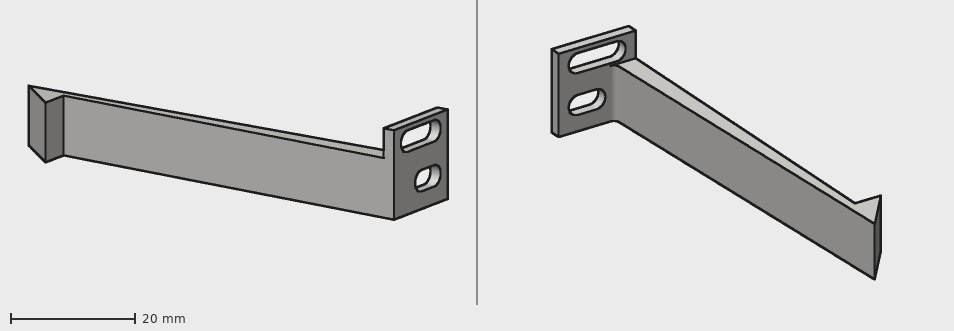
import cadquery as cq

total_length = 73.0
plate_size = 15.0
plate_thickness = 2.05
arm_height = 10.0

arm_root_width = 3.95
root_fillet = 1.0
hook_length = 7.95
hook_drop = 5.05
hook_tip_y = 1.5

slot_width = 3.6
slot_margin = 2.0
upper_slot_length = 11.0
upper_slot_z = 12.3
lower_slot_length = 7.1
lower_slot_z = 4.75

plate_face_x = total_length - plate_thickness


def make_plate():
    return cq.Workplane("XY").box(
        plate_thickness, plate_size, plate_size, centered=False
    ).translate((plate_face_x, 0, 0))


def make_hooked_arm():
    """Tapered arm ending in a triangular barb, extruded upwards."""
    outline = [
        (0, hook_tip_y),
        (hook_length, -hook_drop),
        (hook_length, 0),
        (plate_face_x, 0),
        (plate_face_x, arm_root_width),
    ]
    return cq.Workplane("XY").polyline(outline).close().extrude(arm_height)


def make_slot(length, center_z):
    """Cutter for a rounded slot running along Y through the plate."""
    center_y = plate_size - slot_margin - length / 2
    return (
        cq.Workplane("YZ", origin=(plate_face_x, 0, 0))
        .center(center_y, center_z)
        .slot2D(length, slot_width)
        .extrude(plate_thickness)
    )


body = make_plate().union(make_hooked_arm())

root_corner = (plate_face_x, arm_root_width, arm_height / 2)
body = body.edges(cq.NearestToPointSelector(root_corner)).fillet(root_fillet)

slots = ((upper_slot_length, upper_slot_z), (lower_slot_length, lower_slot_z))
for length, center_z in slots:
    body = body.cut(make_slot(length, center_z))

result = body